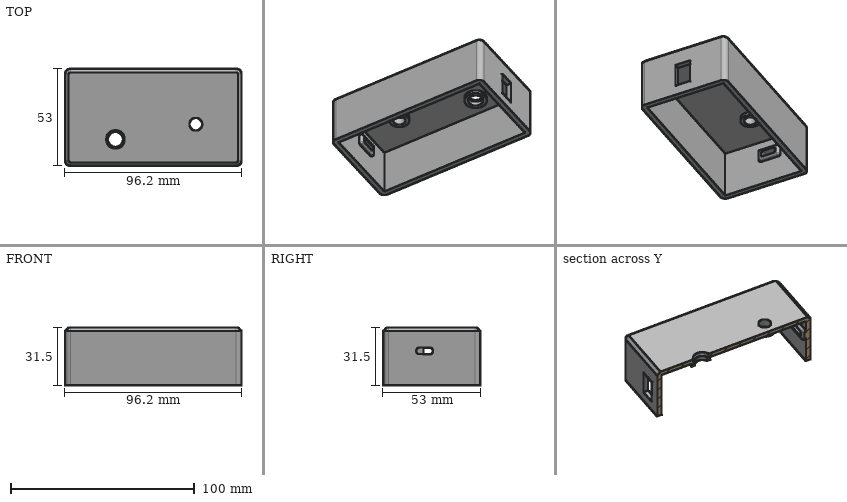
import cadquery as cq

LENGTH = 96.25
WIDTH = 53.0
HEIGHT = 31.5
WALL = 3.0
CORNER_RADIUS = 3.0
TOP_CHAMFER = 2.0

COLLAR_WALL = 2.0
COLLAR_DEPTH = 2.0

STEPPED_HOLE_X = -20.65
STEPPED_HOLE_Y = -12.0
BORE_DIAMETER = 8.2
COUNTERBORE_DIAMETER = 10.0
COUNTERBORE_DEPTH = 2.0
COUNTERBORE_FILLET = 0.5

PLAIN_HOLE_X = 23.15
PLAIN_HOLE_Y = -3.75
PLAIN_HOLE_DIAMETER = 6.8

WINDOW_WIDTH = 9.0
WINDOW_HEIGHT = 14.0
WINDOW_BOTTOM = 6.3

SLOT_LENGTH = 9.0
SLOT_HEIGHT = 3.6
SLOT_Y = -4.0
SLOT_Z = 18.7
PAD_LENGTH = 13.0
PAD_HEIGHT = 7.2
PAD_THICKNESS = 2.0
PAD_FILLET = 1.25

CEILING_Z = HEIGHT - WALL
PAD_FACE_X = LENGTH / 2 - WALL - PAD_THICKNESS


def make_shell():
    body = cq.Workplane("XY").box(LENGTH, WIDTH, HEIGHT, centered=(True, True, False))
    body = body.edges("|Z").fillet(CORNER_RADIUS)
    body = body.faces(">Z").edges().chamfer(TOP_CHAMFER)
    cavity = cq.Workplane("XY").box(
        LENGTH - 2 * WALL, WIDTH - 2 * WALL, CEILING_Z, centered=(True, True, False)
    )
    return body.cut(cavity)


def lid_cylinder(x, y, diameter, top, depth):
    """Vertical cylinder reaching down from height `top`."""
    return cq.Workplane("XY", origin=(x, y, top - depth)).circle(diameter / 2).extrude(depth)


def add_collared_hole(part, x, y, diameter):
    """Through hole in the lid, extended downward by a collar rooted halfway into the lid."""
    collar_diameter = diameter + 2 * COLLAR_WALL
    root_depth = WALL / 2
    collar = lid_cylinder(x, y, collar_diameter, CEILING_Z + root_depth, root_depth + COLLAR_DEPTH)
    part = part.union(collar)
    return part.cut(lid_cylinder(x, y, diameter, HEIGHT, WALL + COLLAR_DEPTH))


def cut_counterbore(part):
    """Counterbore with a rounded edge around its floor."""
    counterbore = lid_cylinder(
        STEPPED_HOLE_X, STEPPED_HOLE_Y, COUNTERBORE_DIAMETER, HEIGHT, COUNTERBORE_DEPTH
    )
    return part.cut(counterbore.faces("<Z").edges().fillet(COUNTERBORE_FILLET))


def cut_window(part):
    window = cq.Workplane("XY").box(WALL, WINDOW_WIDTH, WINDOW_HEIGHT, centered=(False, True, False))
    return part.cut(window.translate((-LENGTH / 2, 0, WINDOW_BOTTOM)))


def make_pad():
    """Pad on the inside of the +X wall, rounded all around its inner side."""
    pad = cq.Workplane("YZ", origin=(PAD_FACE_X, SLOT_Y, SLOT_Z))
    pad = pad.rect(PAD_LENGTH, PAD_HEIGHT).extrude(PAD_THICKNESS)
    pad = pad.edges("|X").fillet(PAD_FILLET)
    return pad.faces("<X").edges().fillet(PAD_FILLET)


def add_connector_opening(part):
    slot = cq.Workplane("YZ", origin=(PAD_FACE_X, SLOT_Y, SLOT_Z))
    slot = slot.slot2D(SLOT_LENGTH, SLOT_HEIGHT).extrude(PAD_THICKNESS + WALL)
    return part.union(make_pad()).cut(slot)


result = make_shell()
result = add_collared_hole(result, STEPPED_HOLE_X, STEPPED_HOLE_Y, BORE_DIAMETER)
result = cut_counterbore(result)
result = add_collared_hole(result, PLAIN_HOLE_X, PLAIN_HOLE_Y, PLAIN_HOLE_DIAMETER)
result = cut_window(result)
result = add_connector_opening(result)